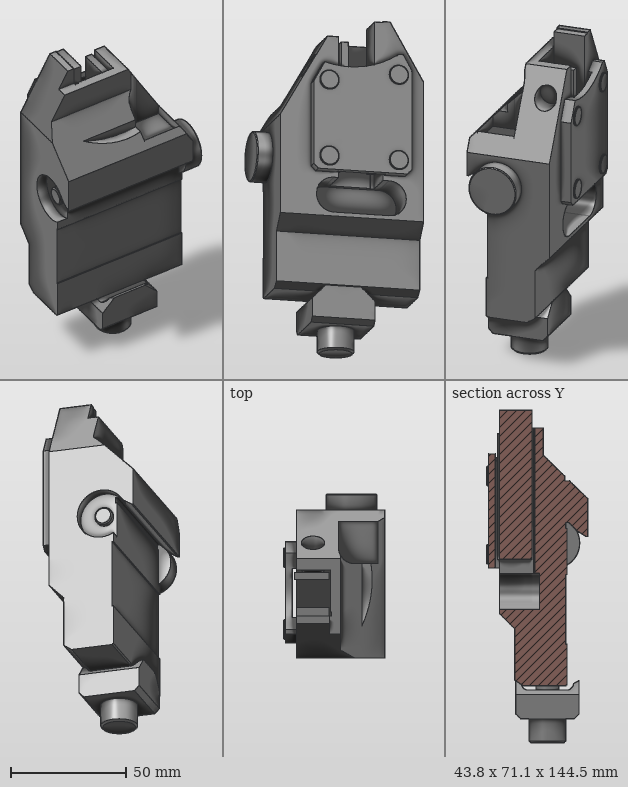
import cadquery as cq
import math


total_height = 144.5
body_width = 64.1
body_bottom = 24.7
body_depth = 38.3
rear_face = 29.3
shoulder_top = 136.4
step_inner = 14.3
step_outer = 19.0
hook_slope_top = 124.5
hook_slope_bottom = 105.7
pin_side_slope_bottom = 118.5
pin_side_slope_top_y = 15.0
knob_side_slope_bottom = 100.1
knob_side_slope_top_y = 43.0
undercut_depth = 6.6
undercut_start = 56.0
undercut_end = 49.4
bottom_chamfer_front = 3.6
bottom_chamfer_height = 2.5
bottom_chamfer_rear = 0.6
mid_plane = 34.0

hook_tip_bottom = 89.3
hook_tip_flat = 0.7
hook_lip = (33.7, 91.7)
hook_root_x = 30.0
hook_root_top = 95.3
hook_undercut_bottom = 92.9
rear_relief_depth = 0.6
rear_relief_bottom = 42.8
rear_relief_top = 72.8

channel_low = 18.2
channel_high = 38.1
channel_depth = 14.9
channel_relief = 0.5
channel_relief_width = 1.7
finger_slot_bottom = 57.8
finger_slot_top = 73.4
finger_slot_length = 40.2
finger_slot_low = 7.8
finger_slot_depth = 17.3

bar_depth = 14.2
bar_bottom = 79.5
fixed_bar_width = 3.8
fixed_bar_top = 144.0
moving_bar_low = 34.0
moving_bar_width = 3.2
moving_bar_top = 133.9
moving_bar_overhang = 0.9

set_screw_diameter = 10.0
set_screw_tip_diameter = 8.5
set_screw_x = 7.2
set_screw_z = 124.5
set_screw_outer_end = 43.3

plate_thickness = 4.8
plate_low = 6.5
plate_high = 50.4
plate_bottom = 75.7
plate_chamfer = 2.0
plate_groove_depth = 1.7
plate_groove_side_gap = 0.6
plate_arc_radius = 38.5
plate_arc_centre_y = 34.7
plate_arc_bottom = 121.9
plate_arc_low_y = 12.4
plate_arc_high_y = 45.5
plate_tip_y = 10.4
plate_low_corner_z = 121.9
plate_high_corner_z = 114.7
plate_screw_diameter = 8.5
plate_screw_height = 0.7
plate_screw_chamfer = 0.3
plate_screw_low_y = 12.4
plate_screw_high_y = 43.5
plate_screw_centres = [
    (plate_screw_low_y, 81.6),
    (plate_screw_high_y, 81.6),
    (plate_screw_low_y, 119.7),
    (plate_screw_high_y, 115.5),
]

pocket_x = (18.2, 35.2)
pocket_y = (40.9, 59.2)
pocket_floor = 104.0
pocket_corner_radius = 7.1
relief_start = 28.3
relief_bottom = 111.1
relief_radius = 47.7

pin_x = 23.8
pin_z = 86.5
knob_diameter = 22.0
knob_height = 7.0
knob_chamfer = 0.5
pin_recess_depth = 5.0
pin_diameter = 8.0
pin_end = 2.5
pin_chamfer = 0.6

jaw_width = 27.5
jaw_length = 28.0
jaw_centre_x = 20.8
jaw_bottom = 10.4
jaw_top = 27.0
jaw_trough = 23.0
jaw_bottom_chamfer = 2.2
jaw_top_chamfer = 6.0
jaw_lip_width = 2.5
jaw_lip_height = 1.3
jaw_trough_half = 9.1
jaw_arc_inset = 0.6
jaw_arc_drop = 1.6
clamp_screw_diameter = 16.0
clamp_screw_chamfer = 0.9
clamp_shank_diameter = 10.0

overlap = 1.5


def box(x_range, y_range, z_range):
    sizes = [end - start for start, end in (x_range, y_range, z_range)]
    corner = (x_range[0], y_range[0], z_range[0])
    return cq.Workplane("XY").box(*sizes, centered=False).translate(corner)


def cylinder_along_x(diameter, y, z, x_start, x_end):
    return cq.Workplane("YZ", origin=(x_start, y, z)).circle(diameter / 2).extrude(x_end - x_start)


def cylinder_along_y(diameter, x, z, y_start, y_end):
    return cq.Workplane("XZ", origin=(x, y_start, z)).circle(diameter / 2).extrude(y_start - y_end)


def make_body():
    relieved_face = rear_face - rear_relief_depth
    profile = [
        (0, total_height),
        (step_inner, total_height),
        (step_inner, shoulder_top),
        (step_outer, shoulder_top),
        (step_outer, hook_slope_top),
        (body_depth, hook_slope_bottom),
        (body_depth, hook_tip_bottom),
        (body_depth - hook_tip_flat, hook_tip_bottom),
        hook_lip,
        (hook_root_x, hook_root_top),
        (relieved_face, hook_root_top),
        (relieved_face, hook_undercut_bottom),
        (rear_face, hook_undercut_bottom),
        (rear_face, rear_relief_top),
        (relieved_face, rear_relief_top),
        (relieved_face, rear_relief_bottom),
        (rear_face, rear_relief_bottom),
        (rear_face, body_bottom + bottom_chamfer_rear),
        (rear_face - bottom_chamfer_rear, body_bottom),
        (undercut_depth + bottom_chamfer_front, body_bottom),
        (undercut_depth, body_bottom + bottom_chamfer_height),
        (undercut_depth, undercut_end),
        (0, undercut_start),
    ]
    side = cq.Workplane("XZ").polyline(profile).close().extrude(-body_width)
    ridge_edge = channel_low + fixed_bar_width
    outline = [
        (0, 0),
        (body_width, 0),
        (body_width, knob_side_slope_bottom),
        (knob_side_slope_top_y, shoulder_top),
        (ridge_edge, shoulder_top),
        (ridge_edge, total_height),
        (pin_side_slope_top_y, total_height),
        (0, pin_side_slope_bottom),
    ]
    face = cq.Workplane("YZ").polyline(outline).close().extrude(body_depth)
    return side.intersect(face)


def cut_channel(body):
    slot_z = (finger_slot_bottom + finger_slot_top) / 2
    channel_z = (finger_slot_top, total_height + overlap)
    channel = box((-overlap, channel_depth), (channel_low, channel_high), channel_z)
    relief = box(
        (0, channel_depth + channel_relief),
        (channel_low, channel_low + channel_relief_width),
        channel_z,
    )
    finger_slot = (
        cq.Workplane("YZ", origin=(0, finger_slot_low + finger_slot_length / 2, slot_z))
        .slot2D(finger_slot_length, finger_slot_top - finger_slot_bottom)
        .extrude(finger_slot_depth)
    )
    return body.cut(channel).cut(relief).cut(finger_slot)


def cut_rear_pocket(body):
    pocket = (
        box(pocket_x, pocket_y, (pocket_floor, total_height))
        .edges("|Z and <X and <Y")
        .fillet(pocket_corner_radius)
    )
    relief = cylinder_along_x(
        2 * relief_radius, mid_plane, relief_bottom + relief_radius, relief_start, body_depth + overlap
    )
    return body.cut(pocket).cut(relief)


def make_bars():
    fixed = box((0, bar_depth), (channel_low, channel_low + fixed_bar_width), (bar_bottom, fixed_bar_top))
    moving = box(
        (-moving_bar_overhang, bar_depth),
        (moving_bar_low, moving_bar_low + moving_bar_width),
        (bar_bottom, moving_bar_top),
    )
    return fixed.union(moving)


def cut_set_screw_hole(body):
    hole = cylinder_along_y(
        set_screw_diameter, set_screw_x, set_screw_z, channel_high - overlap, body_width
    )
    return body.cut(hole)


def make_set_screw():
    tip_chamfer = (set_screw_diameter - set_screw_tip_diameter) / 2
    tip_end = moving_bar_low + moving_bar_width
    screw = cylinder_along_y(set_screw_diameter, set_screw_x, set_screw_z, tip_end, set_screw_outer_end)
    return screw.faces("<Y").chamfer(tip_chamfer)


def make_plate():
    def arc_height(y):
        half_chord = y - plate_arc_centre_y
        return plate_arc_bottom + plate_arc_radius - math.sqrt(plate_arc_radius**2 - half_chord**2)

    tip_z = arc_height(plate_arc_low_y)
    plate = (
        cq.Workplane("YZ")
        .moveTo(plate_low + plate_chamfer, plate_bottom)
        .lineTo(plate_high - plate_chamfer, plate_bottom)
        .lineTo(plate_high, plate_bottom + plate_chamfer)
        .lineTo(plate_high, plate_high_corner_z)
        .lineTo(plate_arc_high_y, arc_height(plate_arc_high_y))
        .threePointArc((plate_arc_centre_y, plate_arc_bottom), (plate_arc_low_y, tip_z))
        .lineTo(plate_tip_y, tip_z)
        .lineTo(plate_low, plate_low_corner_z)
        .lineTo(plate_low, plate_bottom + plate_chamfer)
        .close()
        .extrude(-plate_thickness)
    )
    groove = box(
        (-plate_groove_depth, 0),
        (channel_low - plate_groove_side_gap, channel_high + plate_groove_side_gap),
        (plate_bottom - overlap, total_height),
    )
    plate = plate.cut(groove)
    head_outer = -plate_thickness - plate_screw_height
    for y, z in plate_screw_centres:
        head = cylinder_along_x(plate_screw_diameter, y, z, head_outer, -plate_thickness)
        plate = plate.union(head.faces("<X").chamfer(plate_screw_chamfer))
    return plate


def add_cross_pin(body):
    recess = cylinder_along_y(knob_diameter, pin_x, pin_z, 0, pin_recess_depth)
    pin = cylinder_along_y(pin_diameter, pin_x, pin_z, pin_end, pin_recess_depth + overlap)
    pin = pin.faces("<Y").chamfer(pin_chamfer)
    knob = cylinder_along_y(knob_diameter, pin_x, pin_z, body_width - overlap, body_width + knob_height)
    knob = knob.faces(">Y").chamfer(knob_chamfer)
    return body.cut(recess).union(pin).union(knob)


def make_clamp():
    half_width = jaw_width / 2
    lip_z = jaw_top - jaw_lip_height
    lip_x = half_width - jaw_lip_width
    arc_mid = (lip_x - jaw_arc_inset, lip_z - jaw_arc_drop)
    jaw = (
        cq.Workplane("XZ", origin=(jaw_centre_x, mid_plane - jaw_length / 2, 0))
        .moveTo(half_width, jaw_top)
        .lineTo(lip_x, lip_z)
        .threePointArc(arc_mid, (jaw_trough_half, jaw_trough))
        .lineTo(-jaw_trough_half, jaw_trough)
        .threePointArc((-arc_mid[0], arc_mid[1]), (-lip_x, lip_z))
        .lineTo(-half_width, jaw_top)
        .lineTo(-half_width, jaw_bottom + jaw_bottom_chamfer)
        .lineTo(-half_width + jaw_bottom_chamfer, jaw_bottom)
        .lineTo(half_width - jaw_bottom_chamfer, jaw_bottom)
        .lineTo(half_width, jaw_bottom + jaw_bottom_chamfer)
        .close()
        .extrude(-jaw_length)
    )
    half_length = jaw_length / 2
    face_outline = (
        cq.Workplane("YZ", origin=(0, mid_plane, 0))
        .moveTo(-half_length, jaw_bottom)
        .lineTo(half_length, jaw_bottom)
        .lineTo(half_length, jaw_top - jaw_top_chamfer)
        .lineTo(half_length - jaw_top_chamfer, jaw_top)
        .lineTo(-half_length + jaw_top_chamfer, jaw_top)
        .lineTo(-half_length, jaw_top - jaw_top_chamfer)
        .close()
        .extrude(body_depth)
    )
    base = cq.Workplane("XY", origin=(jaw_centre_x, mid_plane, 0))
    head = base.circle(clamp_screw_diameter / 2).extrude(jaw_bottom)
    head = head.faces("<Z").chamfer(clamp_screw_chamfer)
    shank = base.circle(clamp_shank_diameter / 2).extrude(body_bottom + overlap)
    return jaw.intersect(face_outline).union(head).union(shank)


body = cut_rear_pocket(cut_channel(make_body()))
body = cut_set_screw_hole(body)
body = add_cross_pin(body)
result = body.union(make_bars()).union(make_set_screw()).union(make_plate()).union(make_clamp())